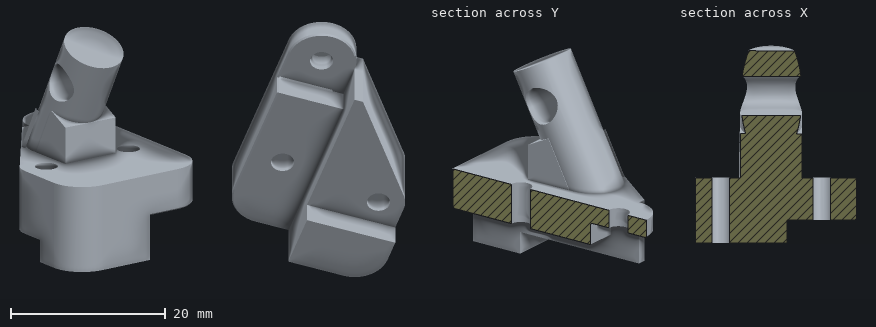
import math

import cadquery as cq

corner_radius = 4.5
hole_diameter = 3.0
hole_pitch_x = 15.67
hole_pitch_y = 13.1
right_side = 26.63
front_side = -16.56
ear_block_edge = -5.65
front_arc_radius = -front_side - hole_pitch_y
front_arc_sweep = math.radians(42)

ear_depth = 2.5
step_depth = 5.5
block_depth = 8.5
foot_depth = 11.5
step_start_x = corner_radius
foot_start_x = 19.1
relief = 0.2
ear_relief_end_y = -3.83
wedge_end_y = -2.97

peg_radius = 4.0
peg_lean = 27.0
peg_yaw = 1.0
peg_base_x = 9.27
peg_base_y = -6.62
peg_top_height = 17.02
cross_hole_diameter = 5.0
cross_hole_height = 10.55

rib_start = 0.55
rib_half_width = 4.02
rib_length = 7.53
rib_end_x = 16.3
fin_thickness = 0.04
fin_start = -2.23
fin_width = 0.7
fin_length = 5.55

lean = math.radians(peg_lean)
yaw = math.radians(peg_yaw)
peg_length = (peg_top_height - peg_radius * math.sin(lean)) / math.cos(lean)
buried_length = 3.0


def box_between(low, high):
    """Axis-aligned box from its lowest to its highest corner."""
    size = [b - a for a, b in zip(low, high)]
    return cq.Workplane("XY").box(*size, centered=False).translate(low)


def plate(depth):
    """Full plate outline extruded down from the top face."""
    def front_arc_point(angle):
        return (
            hole_pitch_x - front_arc_radius * math.sin(angle),
            -hole_pitch_y - front_arc_radius * math.cos(angle),
        )

    right_tangent = right_side - corner_radius
    return (
        cq.Workplane("XY")
        .moveTo(0, corner_radius)
        .lineTo(right_tangent, corner_radius)
        .radiusArc((right_side, 0), corner_radius)
        .lineTo(right_side, front_side + corner_radius)
        .radiusArc((right_tangent, front_side), corner_radius)
        .lineTo(*front_arc_point(0))
        .threePointArc(front_arc_point(front_arc_sweep / 2), front_arc_point(front_arc_sweep))
        .lineTo(0, ear_block_edge)
        .lineTo(0, -corner_radius)
        .threePointArc((-corner_radius, 0), (0, corner_radius))
        .close()
        .extrude(-depth)
    )


def plate_region(depth, min_x, min_y, max_y):
    """Part of the extruded outline to the right of min_x and between two Y limits."""
    region = box_between((min_x, min_y, -depth), (right_side, max_y, 0))
    return plate(depth).intersect(region)


def rear_levels():
    """Thin ear and thicker step, with a small relief along their lower rear edges."""
    ear = plate_region(ear_depth, -corner_radius, -corner_radius, corner_radius)
    step = plate_region(step_depth, step_start_x, -corner_radius, corner_radius)
    body = ear.union(step)

    ear_edge = cq.selectors.NearestToPointSelector((-corner_radius, 0, -ear_depth))
    rear_ear_edge = cq.selectors.NearestToPointSelector((step_start_x / 2, corner_radius, -ear_depth))
    rear_step_edge = cq.selectors.NearestToPointSelector(
        ((step_start_x + right_side) / 2, corner_radius, -step_depth)
    )
    corner_edge = cq.selectors.NearestToPointSelector(
        (step_start_x, corner_radius, -(ear_depth + step_depth) / 2)
    )
    edges = cq.selectors.SumSelector(
        cq.selectors.SumSelector(ear_edge, rear_ear_edge),
        cq.selectors.SumSelector(rear_step_edge, corner_edge),
    )
    body = body.edges(edges).chamfer(relief)

    plain_ear_end = plate_region(ear_depth, -corner_radius, -corner_radius, ear_relief_end_y)
    wedge = (
        cq.Workplane("XZ", origin=(step_start_x, corner_radius - relief, -ear_depth))
        .polyline([(0, 0), (-relief, 0), (0, -relief)])
        .close()
        .extrude(corner_radius - relief - wedge_end_y)
    )
    return body.union(plain_ear_end).union(wedge)


def base():
    """All four levels with the three through holes."""
    block = plate_region(block_depth, 0, front_side, -corner_radius)
    foot = plate_region(foot_depth, foot_start_x, front_side, -corner_radius)
    hole_centres = [(0, 0), (hole_pitch_x, 0), (hole_pitch_x, -hole_pitch_y)]
    holes = (
        cq.Workplane("XY")
        .pushPoints(hole_centres)
        .circle(hole_diameter / 2)
        .extrude(-foot_depth)
    )
    return rear_levels().union(block).union(foot).cut(holes)


def place_on_peg_axis(shape):
    """Move a shape from the upright peg frame to the leaning one."""
    return (
        shape.rotate((0, 0, 0), (0, 1, 0), peg_lean)
        .rotate((0, 0, 0), (0, 0, 1), peg_yaw)
        .translate((peg_base_x, peg_base_y, 0))
    )


def peg_pieces():
    """Leaning round peg with its cross hole, the rib and the fin, all starting at the plate top."""
    pin = place_on_peg_axis(
        cq.Workplane("XY", origin=(0, 0, -buried_length))
        .circle(peg_radius)
        .extrude(buried_length + peg_length)
    )
    rib = place_on_peg_axis(
        box_between((rib_start, -rib_half_width, -rib_end_x), (rib_end_x, rib_half_width, rib_length))
    )
    fin = place_on_peg_axis(
        box_between(
            (fin_start, -rib_half_width, -buried_length),
            (fin_start + fin_width, -rib_half_width + fin_thickness, fin_length),
        )
    )
    above_plate = box_between((0, front_side, 0), (right_side, corner_radius, peg_top_height))
    before_rib_end = box_between((0, front_side, 0), (rib_end_x, corner_radius, peg_top_height))
    run = cross_hole_height * math.tan(lean)
    cross_hole = (
        cq.Workplane("XZ")
        .center(peg_base_x + run * math.cos(yaw), cross_hole_height)
        .circle(cross_hole_diameter / 2)
        .extrude(-front_side)
    )
    drilled_pin = pin.intersect(above_plate).cut(cross_hole)
    return [drilled_pin, rib.intersect(before_rib_end), fin.intersect(above_plate)]


result = base()
for peg_piece in peg_pieces():
    result = result.union(peg_piece)